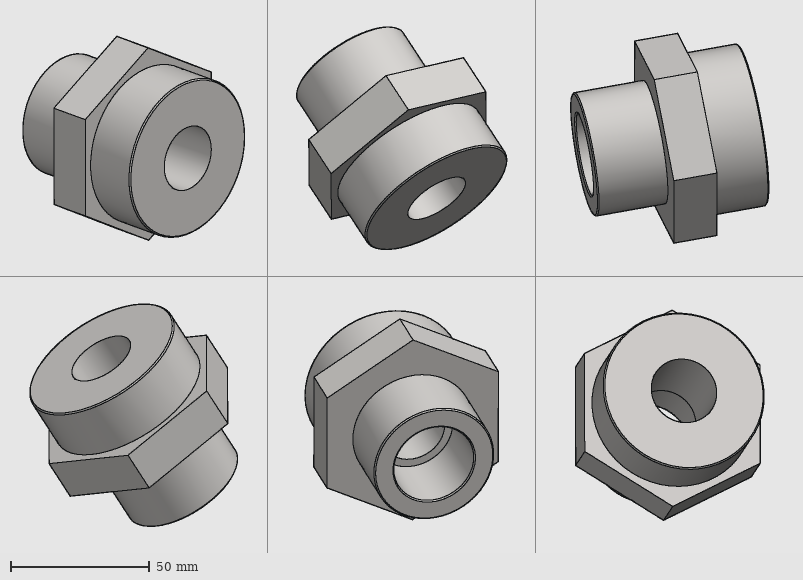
import cadquery as cq
import math

small_end_diameter = 45.44
small_end_length = 26.0
hex_across_flats = 65.0
hex_length = 16.0
hex_turn = 0.17
large_end_diameter = 59.61
large_end_length = 20.0

socket_diameter = 30.29
socket_depth = small_end_length
passage_diameter = 24.23
edge_chamfer = 0.5

hex_start = small_end_length
hex_end = hex_start + hex_length
total_length = hex_end + large_end_length
hex_across_corners = hex_across_flats / math.cos(math.radians(30))
corner_up = 90


def cylinder(diameter, start, length):
    """Solid cylinder on the X axis, from X = start toward +X."""
    return cq.Workplane("YZ").workplane(offset=start).circle(diameter / 2).extrude(length)


def make_small_end():
    return cylinder(small_end_diameter, 0, small_end_length).faces("<X").chamfer(edge_chamfer)


def make_hexagon():
    """Wrench hexagon with two corners along Z, before its slight turn."""
    return (
        cq.Workplane("YZ")
        .workplane(offset=hex_start)
        .polygon(6, hex_across_corners)
        .extrude(hex_length)
        .rotate((0, 0, 0), (1, 0, 0), corner_up + hex_turn)
    )


def make_large_end():
    return cylinder(large_end_diameter, hex_end, large_end_length).faces(">X").chamfer(edge_chamfer)


def make_bore():
    """Cutting body for the passage and the socket with its chamfered mouth, turned about X."""
    passage_radius = passage_diameter / 2
    socket_radius = socket_diameter / 2
    return (
        cq.Workplane("XY")
        .moveTo(0, 0)
        .lineTo(0, socket_radius + edge_chamfer)
        .lineTo(edge_chamfer, socket_radius)
        .lineTo(socket_depth, socket_radius)
        .lineTo(socket_depth, passage_radius)
        .lineTo(total_length, passage_radius)
        .lineTo(total_length, 0)
        .close()
        .revolve(360, (0, 0, 0), (1, 0, 0))
    )


body = make_small_end().union(make_hexagon()).union(make_large_end())
result = body.cut(make_bore())